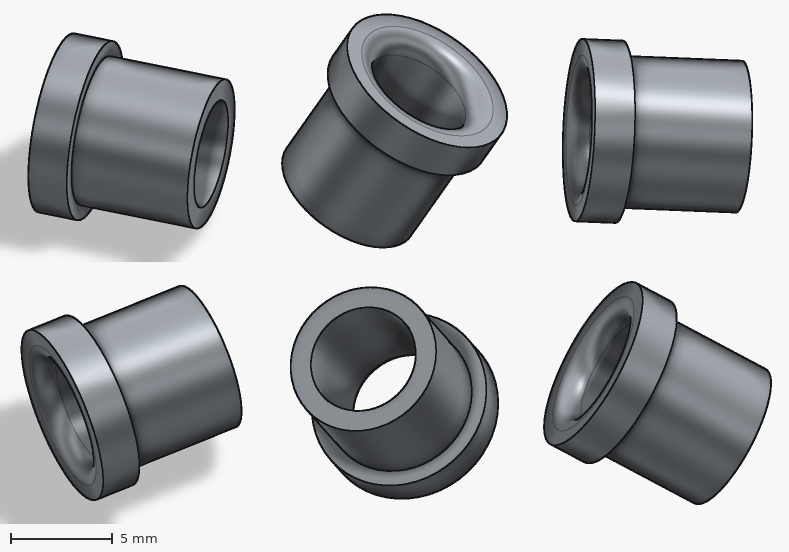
import cadquery as cq

flange_diameter = 9.0
flange_thickness = 2.0
sleeve_diameter = 7.5
total_length = 8.0
bore_diameter = 5.4
bore_entry_radius = 1.0


def rod(diameter, length):
    """Solid cylinder running from the flange face toward +X."""
    return cq.Workplane("YZ").circle(diameter / 2).extrude(length)


body = rod(flange_diameter, flange_thickness).union(rod(sleeve_diameter, total_length))
bushing = body.cut(rod(bore_diameter, total_length))

flange_face_edges = bushing.faces("<X").edges()
bore_mouth = flange_face_edges.edges(cq.selectors.RadiusNthSelector(0))
result = bore_mouth.fillet(bore_entry_radius)